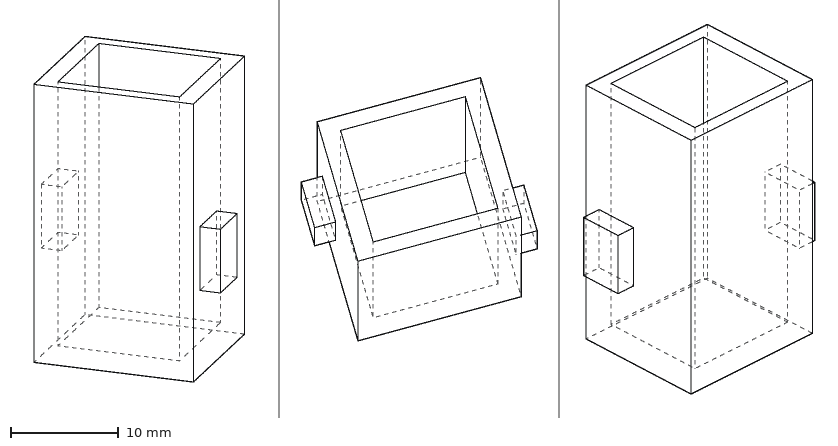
import cadquery as cq

overall_width = 19.8
body_depth = 13.95
body_height = 27.43

tab_reach = 2.03
tab_width = 4.58
tab_height = 6.28
tab_bottom = 8.45
tab_edge_gap = 1.75

body_width = overall_width - 2 * tab_reach
side_wall = 1.87
end_wall = 1.4
floor_thickness = end_wall


def make_cup():
    """Upright box with a blind rectangular cavity open at the top."""
    body = cq.Workplane("XY").box(body_width, body_depth, body_height, centered=(True, True, False))
    cavity = (
        cq.Workplane("XY", origin=(0, 0, floor_thickness))
        .rect(body_width - 2 * side_wall, body_depth - 2 * end_wall)
        .extrude(body_height - floor_thickness)
    )
    return body.cut(cavity)


def make_tab(side):
    """Tab on the +X (side = 1) or -X (side = -1) face, set toward the opposite Y edge."""
    center_x = side * (body_width + tab_reach) / 2
    center_y = -side * (body_depth / 2 - tab_edge_gap - tab_width / 2)
    return (
        cq.Workplane("XY", origin=(center_x, center_y, tab_bottom))
        .rect(tab_reach, tab_width)
        .extrude(tab_height)
    )


result = make_cup()
for side in (-1, 1):
    result = result.union(make_tab(side))